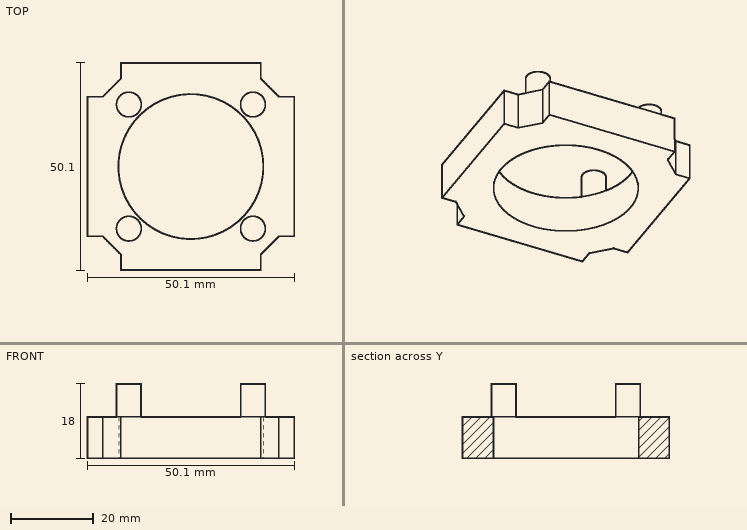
import cadquery as cq

plate_size = 50.1
plate_height = 10.0
bore_diameter = 35.0

flat_length = 33.8
notch_wall_depth = 3.75

pin_diameter = 6.0
pin_height = 8.0
pin_spacing = 30.0


def make_plate():
    """Square plate with a round bore, centred on Z and standing on Z = 0."""
    return (
        cq.Workplane("XY")
        .rect(plate_size, plate_size)
        .circle(bore_diameter / 2)
        .extrude(plate_height)
    )


def make_corner_notch():
    """Cutter for the +X +Y corner of the plate."""
    outer = plate_size / 2
    wall = flat_length / 2
    diagonal_end = outer - notch_wall_depth
    return (
        cq.Workplane("XY")
        .moveTo(outer, outer)
        .lineTo(wall, outer)
        .lineTo(wall, diagonal_end)
        .lineTo(diagonal_end, wall)
        .lineTo(outer, wall)
        .close()
        .extrude(plate_height)
    )


def cut_corner_notches(plate):
    """Remove the same notch from all four corners."""
    notch = make_corner_notch()
    for angle in (0, 90, 180, 270):
        plate = plate.cut(notch.rotate((0, 0, 0), (0, 0, 1), angle))
    return plate


def add_pins(plate):
    """Stand four pins in a square pattern on the top face."""
    pins = (
        cq.Workplane("XY")
        .rect(pin_spacing, pin_spacing, forConstruction=True)
        .vertices()
        .circle(pin_diameter / 2)
        .extrude(plate_height + pin_height)
    )
    return plate.union(pins)


result = add_pins(cut_corner_notches(make_plate()))